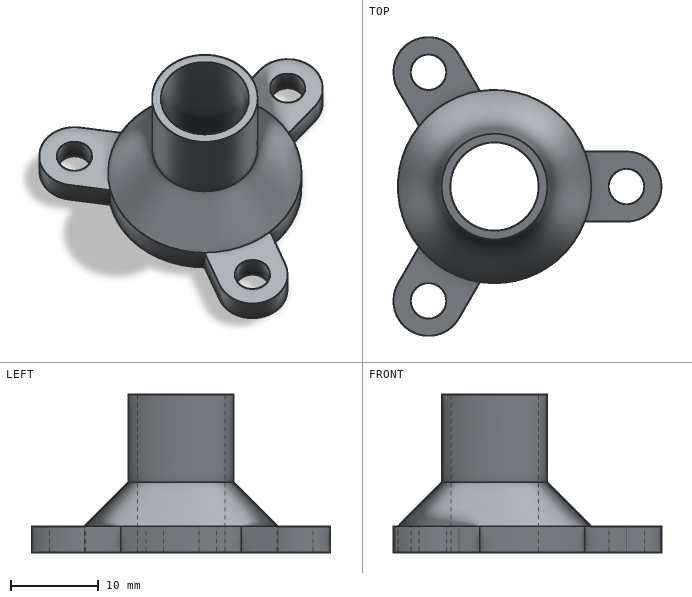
import cadquery as cq

bore_diameter = 10.0
wall_thickness = 1.0
total_height = 18.0
base_thickness = 3.0
base_diameter = 22.0
cone_height = 5.0

lug_count = 3
lug_pitch_radius = 15.0
lug_width = 8.0
lug_hole_diameter = 4.0

tube_radius = bore_diameter / 2 + wall_thickness
base_radius = base_diameter / 2
cone_top = base_thickness + cone_height
lug_angles = [index * 360.0 / lug_count for index in range(lug_count)]


def make_body():
    """Round base, 45 degree cone and tube, revolved about Z as one profile."""
    return (
        cq.Workplane("XZ")
        .lineTo(base_radius, 0)
        .lineTo(base_radius, base_thickness)
        .lineTo(tube_radius, cone_top)
        .lineTo(tube_radius, total_height)
        .lineTo(0, total_height)
        .close()
        .revolve(360, (0, 0, 0), (0, 1, 0))
    )


def make_lug(angle):
    """Straight-sided mounting lug with a round end, pointing out at the given angle."""
    half_width = lug_width / 2
    lug = (
        cq.Workplane("XY")
        .moveTo(0, -half_width)
        .lineTo(lug_pitch_radius, -half_width)
        .threePointArc(
            (lug_pitch_radius + half_width, 0),
            (lug_pitch_radius, half_width),
        )
        .lineTo(0, half_width)
        .close()
        .extrude(base_thickness)
    )
    return lug.rotate((0, 0, 0), (0, 0, 1), angle)


def make_lug_holes():
    """Through-hole cutters, one concentric with each lug's round end."""
    return (
        cq.Workplane("XY")
        .polarArray(lug_pitch_radius, 0, 360, lug_count)
        .circle(lug_hole_diameter / 2)
        .extrude(base_thickness)
    )


def make_bore():
    """Straight bore through the full height."""
    return cq.Workplane("XY").circle(bore_diameter / 2).extrude(total_height)


result = make_body()
for lug_angle in lug_angles:
    result = result.union(make_lug(lug_angle))
result = result.cut(make_lug_holes()).cut(make_bore())